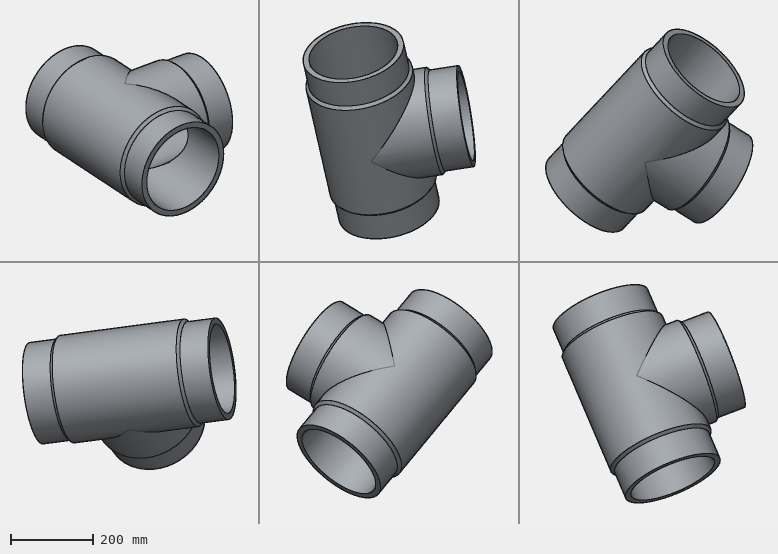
import cadquery as cq

run_length = 470.0
branch_length = run_length / 2
body_diameter = 264.5
spigot_diameter = 249.5
bore_diameter = 220.0
spigot_length = 70.5

taper = (body_diameter - spigot_diameter) / 2


def arm(plane, length):
    """Solid arm from the tee centre: thick body, tapered shoulder and spigot."""
    body_length = length - spigot_length
    body = cq.Workplane(plane).circle(body_diameter / 2).extrude(body_length)
    body = body.faces(cq.selectors.DirectionMinMaxSelector(plane.zDir)).chamfer(taper)
    spigot = cq.Workplane(plane).circle(spigot_diameter / 2).extrude(length)
    return body.union(spigot)


def bore(plane, length):
    """Through passage from the tee centre to the end of an arm."""
    return cq.Workplane(plane).circle(bore_diameter / 2).extrude(length)


def outward_plane(direction, x_direction):
    """Plane at the tee centre facing along one arm."""
    return cq.Plane(origin=(0, 0, 0), xDir=x_direction, normal=direction)


right_plane = outward_plane((1, 0, 0), (0, 1, 0))
left_plane = outward_plane((-1, 0, 0), (0, 1, 0))
branch_plane = outward_plane((0, 1, 0), (1, 0, 0))

tee = arm(right_plane, run_length / 2)
tee = tee.union(arm(left_plane, run_length / 2))
tee = tee.union(arm(branch_plane, branch_length))

tee = tee.cut(bore(right_plane, run_length / 2))
tee = tee.cut(bore(left_plane, run_length / 2))
tee = tee.cut(bore(branch_plane, branch_length))

result = tee